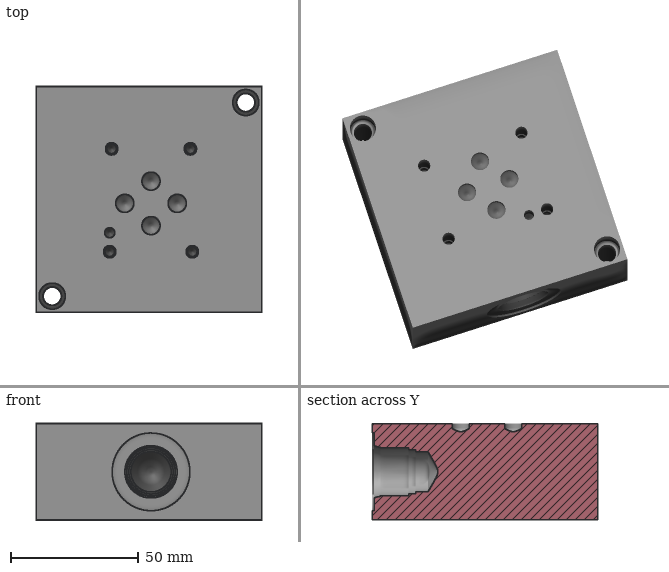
import cadquery as cq
import math

BLOCK_SIDE = 88.9
BLOCK_HEIGHT = 38.1

MOUNT_EDGE_DISTANCE = 6.35
MOUNT_HOLE_DIAMETER = 7.14
MOUNT_BORE_DIAMETER = 10.31
MOUNT_BORE_DEPTH = 8.0

PATTERN_SHIFT_X = 0.79
PATTERN_SHIFT_Y = -1.59
PATTERN_X = BLOCK_SIDE / 2 + PATTERN_SHIFT_X
PATTERN_Y = BLOCK_SIDE / 2 + PATTERN_SHIFT_Y
VALVE_PORT_OFFSET_X = 10.32
VALVE_PORT_OFFSET_Y = 8.75
VALVE_PORT_DIAMETER = 7.14
VALVE_PORT_DEPTH = 2.0
UPPER_BOLT_OFFSET_X = 15.5
LOWER_BOLT_OFFSET_X = 16.25
UPPER_BOLT_OFFSET_Y = 21.45
BOLT_SPACING_Y = 40.5
PIN_TO_UPPER_BOLT_Y = 33.0
BOLT_THREAD_DIAMETER = 4.83
BOLT_THREAD_DEPTH = 12.7
BOLT_DRILL_DIAMETER = 3.79
BOLT_DRILL_DEPTH = 16.0
PIN_DIAMETER = 3.96
PIN_DEPTH = 6.0

SPOTFACE_DIAMETER = 30.63
SPOTFACE_DEPTH = 0.79
SEAT_DIAMETER = 20.6
SEAT_END_DIAMETER = 19.25
SEAT_LENGTH = 2.54
SEAT_DEPTH = SPOTFACE_DEPTH + SEAT_LENGTH
THREAD_DIAMETER = 19.05
THREAD_DEPTH = 14.3
TAP_DRILL_DIAMETER = 17.5
TAP_DRILL_DEPTH = 17.0
PASSAGE_DIAMETER = 15.88
PASSAGE_DEPTH = 22.0

DRILL_POINT_ANGLE = 118.0


def drill_point_length(diameter):
    """Length of the cone left by a drill of this diameter."""
    return diameter / 2 / math.tan(math.radians(DRILL_POINT_ANGLE / 2))


def drilled_hole(x, y, diameter, depth):
    """Blind hole cut down from the top face, ending in a drill point."""
    radius = diameter / 2
    tip_depth = depth + drill_point_length(diameter)
    profile = [(0, 0), (radius, 0), (radius, -depth), (0, -tip_depth)]
    hole = cq.Workplane("XZ").polyline(profile).close().revolve(360, (0, 0), (0, 1))
    return hole.translate((x, y, BLOCK_HEIGHT))


def tapped_hole(x, y):
    """Threaded bolt hole at its major diameter over a deeper tap drill."""
    drill = drilled_hole(x, y, BOLT_DRILL_DIAMETER, BOLT_DRILL_DEPTH)
    thread = cq.Workplane("XY").circle(BOLT_THREAD_DIAMETER / 2).extrude(-BOLT_THREAD_DEPTH)
    return drill.union(thread.translate((x, y, BLOCK_HEIGHT)))


def side_port():
    """Stepped O-ring port along +Y, opening at the origin."""
    profile = [
        (0, 0),
        (SPOTFACE_DIAMETER / 2, 0),
        (SPOTFACE_DIAMETER / 2, SPOTFACE_DEPTH),
        (SEAT_DIAMETER / 2, SPOTFACE_DEPTH),
        (SEAT_END_DIAMETER / 2, SEAT_DEPTH),
        (THREAD_DIAMETER / 2, SEAT_DEPTH),
        (THREAD_DIAMETER / 2, THREAD_DEPTH),
        (TAP_DRILL_DIAMETER / 2, THREAD_DEPTH),
        (TAP_DRILL_DIAMETER / 2, TAP_DRILL_DEPTH),
        (PASSAGE_DIAMETER / 2, TAP_DRILL_DEPTH),
        (PASSAGE_DIAMETER / 2, PASSAGE_DEPTH),
        (0, PASSAGE_DEPTH + drill_point_length(PASSAGE_DIAMETER)),
    ]
    return cq.Workplane("XY").polyline(profile).close().revolve(360, (0, 0), (0, 1))


def cut_mounting_holes(body):
    far_edge = BLOCK_SIDE - MOUNT_EDGE_DISTANCE
    centers = [(MOUNT_EDGE_DISTANCE, MOUNT_EDGE_DISTANCE), (far_edge, far_edge)]
    return (
        body.faces(">Z")
        .workplane(origin=(0, 0, BLOCK_HEIGHT))
        .pushPoints(centers)
        .cboreHole(MOUNT_HOLE_DIAMETER, MOUNT_BORE_DIAMETER, MOUNT_BORE_DEPTH)
    )


def cut_valve_pattern(body):
    upper_bolt_y = PATTERN_Y + UPPER_BOLT_OFFSET_Y
    lower_bolt_y = upper_bolt_y - BOLT_SPACING_Y
    for side in (-1, 1):
        ports = [
            (PATTERN_X + side * VALVE_PORT_OFFSET_X, PATTERN_Y),
            (PATTERN_X, PATTERN_Y + side * VALVE_PORT_OFFSET_Y),
        ]
        for x, y in ports:
            body = body.cut(drilled_hole(x, y, VALVE_PORT_DIAMETER, VALVE_PORT_DEPTH))
        body = body.cut(tapped_hole(PATTERN_X + side * UPPER_BOLT_OFFSET_X, upper_bolt_y))
        body = body.cut(tapped_hole(PATTERN_X + side * LOWER_BOLT_OFFSET_X, lower_bolt_y))
    pin_x = PATTERN_X - LOWER_BOLT_OFFSET_X
    pin_y = upper_bolt_y - PIN_TO_UPPER_BOLT_Y
    return body.cut(drilled_hole(pin_x, pin_y, PIN_DIAMETER, PIN_DEPTH))


def cut_side_ports(body):
    port_z = BLOCK_HEIGHT / 2
    front_port = side_port().translate((PATTERN_X, 0, port_z))
    left_port = side_port().rotate((0, 0, 0), (0, 0, 1), -90).translate((0, PATTERN_Y, port_z))
    return body.cut(front_port).cut(left_port)


block = cq.Workplane("XY").box(BLOCK_SIDE, BLOCK_SIDE, BLOCK_HEIGHT, centered=False)
block = cut_mounting_holes(block)
block = cut_valve_pattern(block)
result = cut_side_ports(block)